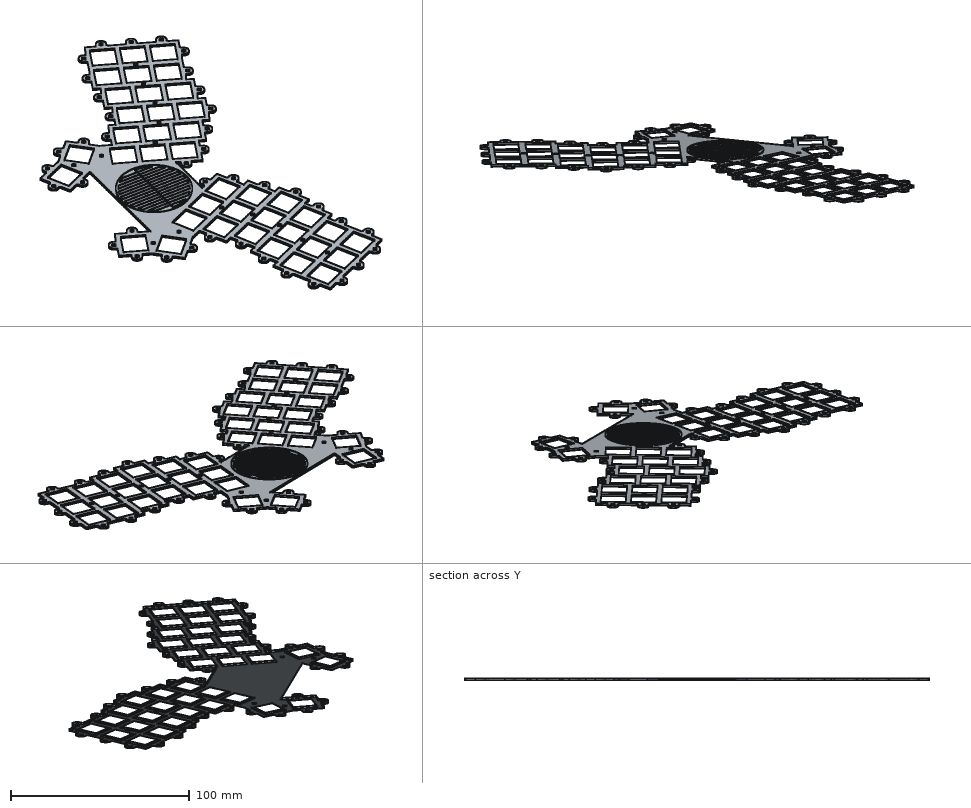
import cadquery as cq
import math

plate_thickness = 1.2

key_window = 14.0
border = 1.0
column_pitch = key_window + 4 * border
row_pitch = key_window + 3 * border
stagger_step = row_pitch / 4
column_staggers = [steps * stagger_step for steps in (0, 0, 1, 2, 1, 0)]
rows = [-row_pitch, 0, row_pitch]
field_tilt = -25
outer_column_center = (-109.5, 38.0)
column_half_width = column_pitch / 2 + border
column_half_length = 1.5 * row_pitch + border
inner_column_reach = 39

thumb_half_size = column_half_width
outer_thumb_center = (-48.7, -36.2)
outer_thumb_tilt = 45
inner_thumb_center = (-36.7, -53.2)
inner_thumb_tilt = 25

hole_diameter = 2.2
lug_diameter = 6.0
lug_radius = lug_diameter / 2
lug_offset = 1.7
lug_fillet = 1.0
palm_hole = (-41.0, -26.3)
thumb_hole = (-42.0, -44.0)

panel_top = 6.0
panel_bottom = -39.5
recess_center_y = -17.2
recess_diameter = 43.0
recess_depth = 0.4
grille_diameter = 40.5
rib_width = 2.3
rib_pitch = 2 * rib_width
upper_rib_count = 9
lower_rib_count = upper_rib_count - 1
cross_rib_width = 0.3
cross_rib_height = 0.3

inner_column = len(column_staggers) - 1


def rotated(point, angle):
    """Turn a point about the origin by an angle in degrees."""
    a = math.radians(angle)
    x, y = point
    return (x * math.cos(a) - y * math.sin(a), x * math.sin(a) + y * math.cos(a))


def placed(origin, tilt, point):
    """Plate position of a point given in a frame tilted about its own origin."""
    dx, dy = rotated(point, tilt)
    return (origin[0] + dx, origin[1] + dy)


def in_field(x, y):
    return placed(outer_column_center, field_tilt, (x, y))


def prism(sketch):
    return sketch.extrude(plate_thickness)


def block(center, width, length, tilt):
    """Tilted rectangular block through the plate thickness."""
    solid = prism(cq.Workplane("XY").rect(width, length))
    return solid.rotate((0, 0, 0), (0, 0, 1), tilt).translate((*center, 0))


def lug(edge_point, tilt):
    """Round lug growing along its own +Y from a plate edge, with filleted roots."""
    reach = lug_radius + lug_fillet
    fillet_x = math.sqrt(reach**2 - (lug_offset - lug_fillet) ** 2)
    touch_x = fillet_x * lug_radius / reach
    touch_y = lug_offset - (lug_offset - lug_fillet) * lug_radius / reach
    touch_angle = math.atan2(touch_y - lug_fillet, touch_x - fillet_x) % (2 * math.pi)
    mid_angle = (touch_angle + 1.5 * math.pi) / 2
    mid_x = fillet_x + lug_fillet * math.cos(mid_angle)
    mid_y = lug_fillet + lug_fillet * math.sin(mid_angle)
    solid = prism(
        cq.Workplane("XY")
        .moveTo(-fillet_x, -border)
        .lineTo(-fillet_x, 0)
        .threePointArc((-mid_x, mid_y), (-touch_x, touch_y))
        .threePointArc((0, lug_offset + lug_radius), (touch_x, touch_y))
        .threePointArc((mid_x, mid_y), (fillet_x, 0))
        .lineTo(fillet_x, -border)
        .close()
    )
    return solid.rotate((0, 0, 0), (0, 0, 1), tilt).translate((*edge_point, 0))


thumb_keys = [
    (outer_thumb_center, outer_thumb_tilt),
    (inner_thumb_center, inner_thumb_tilt),
]

keys = [
    (in_field(column * column_pitch, stagger + row), field_tilt)
    for column, stagger in enumerate(column_staggers)
    for row in rows
]
keys += thumb_keys

lugs = []
for column, stagger in enumerate(column_staggers):
    x = column * column_pitch
    lugs.append((in_field(x, stagger + column_half_length), field_tilt))
    if column != inner_column:
        lugs.append((in_field(x, stagger - column_half_length), field_tilt + 180))
for row in rows:
    lugs.append((in_field(-column_half_width, row), field_tilt + 90))
inner_edge = inner_column * column_pitch + column_half_width
lugs.append((in_field(inner_edge, row_pitch), field_tilt - 90))
for (center, tilt), sides in zip(thumb_keys, [(0, 90), (90, 180, 270)]):
    for side in sides:
        edge_point = placed(center, tilt + side, (0, thumb_half_size))
        lugs.append((edge_point, tilt + side))

holes = [placed(edge_point, tilt, (0, lug_offset)) for edge_point, tilt in lugs]
for column in range(inner_column):
    middle = (column_staggers[column] + column_staggers[column + 1]) / 2
    holes.append(in_field((column + 0.5) * column_pitch, middle))
holes += [palm_hole, thumb_hole]


def center_panel():
    """Left half of the centre panel, reaching into the innermost column and both thumb frames."""
    outer_corner = (-thumb_half_size, -thumb_half_size)
    inner_left_corner = (-thumb_half_size, thumb_half_size)
    inner_right_corner = (thumb_half_size, thumb_half_size)
    corner_x, corner_y = placed(inner_thumb_center, inner_thumb_tilt, inner_right_corner)
    bottom_x = corner_x - (panel_bottom - corner_y) * math.tan(math.radians(inner_thumb_tilt))
    outline = [
        (0, panel_top),
        (in_field(inner_column * column_pitch, 0)[0], panel_top),
        outer_thumb_center,
        placed(outer_thumb_center, outer_thumb_tilt, outer_corner),
        placed(inner_thumb_center, inner_thumb_tilt, inner_left_corner),
        inner_thumb_center,
        (corner_x, corner_y),
        (bottom_x, panel_bottom),
        (0, panel_bottom),
    ]
    return prism(cq.Workplane("XY").polyline(outline).close())


def column_block(column):
    """Frame of one key column; the innermost one runs on down to the thumb keys."""
    top = column_staggers[column] + column_half_length
    bottom = column_staggers[column] - column_half_length
    if column == inner_column:
        bottom = -inner_column_reach
    center = in_field(column * column_pitch, (top + bottom) / 2)
    return block(center, 2 * column_half_width, top - bottom, field_tilt)


def left_half():
    half = center_panel()
    for column in range(len(column_staggers)):
        half = half.union(column_block(column))
    for center, tilt in thumb_keys:
        half = half.union(block(center, 2 * thumb_half_size, 2 * thumb_half_size, tilt))
    for edge_point, tilt in lugs:
        half = half.union(lug(edge_point, tilt))
    for center, tilt in keys:
        half = half.cut(block(center, key_window, key_window, tilt))
    return half.cut(prism(cq.Workplane("XY").pushPoints(holes).circle(hole_diameter / 2)))


def rib_row(count, center_y):
    """Evenly spaced upright ribs, centred on the mirror line."""
    length = grille_diameter / 2
    centers = [((i - (count - 1) / 2) * rib_pitch, center_y) for i in range(count)]
    return prism(cq.Workplane("XY").pushPoints(centers).rect(rib_width, length))


def grille():
    """Ribs trimmed to a circle; the lower row is shifted sideways by one rib width."""
    row_offset = grille_diameter / 4 + cross_rib_width / 2
    ribs = rib_row(upper_rib_count, row_offset).union(rib_row(lower_rib_count, -row_offset))
    cross_rib_top = plate_thickness - recess_depth + cross_rib_height
    cross_rib = cq.Workplane("XY").rect(grille_diameter, cross_rib_width).extrude(cross_rib_top)
    trim = prism(cq.Workplane("XY").circle(grille_diameter / 2))
    return ribs.union(cross_rib).intersect(trim).translate((0, recess_center_y, 0))


left = left_half()
plate = left.union(left.mirror("YZ"))
recess = cq.Workplane("XY").circle(recess_diameter / 2).extrude(recess_depth)
recess = recess.translate((0, recess_center_y, plate_thickness - recess_depth))
result = plate.cut(recess).union(grille())